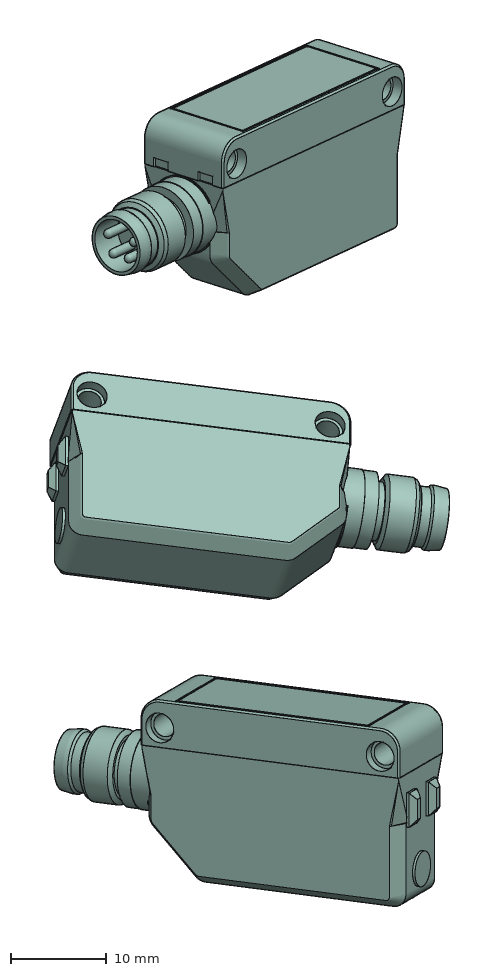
import cadquery as cq
import math


length = 29.9
height = 19.7
cap_width = 10.8
body_inset = 0.13
body_width = cap_width - 2 * body_inset
body_front = body_inset
body_rear = length - body_inset
split_z = 14.55
cap_corner_radius = 2.25
cap_edge_chamfer = 0.2

slope_size = 6.0
slope_radius = 1.65
rear_radius = 1.45
bevel_x = 1.6
bevel_in = 0.9
bevel_edge_x = 0.15
bevel_edge_in = 0.15
bevel_top_z = 9.17
ramp_top_z = 14.25
ramp_facets = ((2.3, 1.0), (1.2, 1.1))

hole_diameter = 2.5
hole_counterbore = 3.2
counterbore_depth = 1.2
hole_inset = 2.25
hole_spacing = 25.45
hole_z = 16.7

label_width = 9.9
label_start = 3.85
label_length = 22.35
groove_width = 0.25
groove_depth = 0.13
notch_width = 1.95
notch_height = 1.05
notch_depth = 0.35
notch_x = 3.0

lens_diameter = 3.8
lens_z = 3.38
lens_projection = 0.15
button_x = 2.38
button_z = 10.6
button_pad = 0.15
button_projection = 0.85
button_base = (1.95, 3.7)
button_tip = (0.8, 2.2)

axis_z = 10.2
connector_length = 10.95
root_flange_diameter = 8.6
root_flange_projection = 0.05
collar_diameter = 8.35
collar_end = 1.75
sleeve_diameter = 8.2
sleeve_end = 3.25
neck_diameter = 6.2
neck_end = 4.1
nut_start_diameter = 6.92
nut_diameter = 8.0
nut_full_start = 4.45
nut_full_end = 7.25
nut_bend_diameter = 7.6
nut_bend = 7.67
nut_end_diameter = 6.6
nut_end = 8.0
groove_diameter = 6.4
groove_end = 9.05
rim_diameter = 6.9
rim_start = 9.3
rim_full_end = 9.8
tip_diameter = 6.5
bore_diameter = 5.75
bore_depth = 3.75
pin_diameter = 1.0
pin_tip_radius = 0.48
pin_recess = 0.38
pin_places = ((1.75, 0.63), (-1.75, 0.63), (1.05, -1.4), (-1.05, -1.4))


def box(x_size, y_range, z_range, x_centre=0.0):
    """Box centred on x_centre between the given Y and Z limits."""
    y_size = y_range[1] - y_range[0]
    z_size = z_range[1] - z_range[0]
    corner = (x_centre - x_size / 2, y_range[0], z_range[0])
    return cq.Workplane("XY").box(x_size, y_size, z_size, centered=False).translate(corner)


def make_cap():
    """Upper housing part with round top corners and chamfered side outlines."""
    block = box(cap_width, (0, length), (0, height))
    block = block.edges("|X and >Z").fillet(cap_corner_radius)
    block = block.faces("<X or >X").chamfer(cap_edge_chamfer)
    return block.intersect(box(cap_width, (0, length), (split_z, height)))


def make_lower_body():
    """Bevelled body up to bevel_top_z, then a plain block whose corners carry the ramps."""
    core = (
        cq.Workplane("YZ")
        .polyline([
            (slope_size, 0),
            (body_rear, 0),
            (body_rear, split_z),
            (body_front, split_z),
            (body_front, slope_size - body_front),
        ])
        .close()
        .extrude(body_width / 2 - bevel_x - bevel_edge_x)
    )
    core = core.edges("|X and >Y and <Z").fillet(rear_radius)
    slope_edges = cq.selectors.BoxSelector(
        (-body_width, -0.4, -0.4), (body_width, slope_size + 0.4, slope_size + 0.4)
    )
    core = core.edges("|X").edges(slope_edges).fillet(slope_radius)
    half = core
    for depth, inward in ((bevel_x, bevel_in), (bevel_edge_x, bevel_edge_in)):
        angle = math.degrees(math.atan2(inward, depth))
        half = half.faces(">X").wires().toPending().extrude(depth, taper=angle)
    bevelled = half.union(half.mirror("YZ"))
    bevelled = bevelled.intersect(box(body_width, (0, length), (0, bevel_top_z)))

    upper = box(body_width, (body_front, body_rear), (bevel_top_z, split_z))
    for x_side in (-1, 1):
        x_corner = x_side * body_width / 2
        for y_corner, y_inward in ((body_front, 1), (body_rear, -1)):
            for leg_x, leg_y in ramp_facets:
                upper = upper.cut(ramp_cutter(x_corner, y_corner, -x_side * leg_x, y_inward * leg_y))
    return bevelled.union(upper)


def ramp_cutter(x_corner, y_corner, leg_x, leg_y):
    """Three-sided pyramid standing on bevel_top_z with its apex on the housing corner."""
    corner = cq.Vector(x_corner, y_corner, bevel_top_z)
    along_x = corner + cq.Vector(leg_x, 0, 0)
    along_y = corner + cq.Vector(0, leg_y, 0)
    apex = cq.Vector(x_corner, y_corner, ramp_top_z)
    triangles = (
        (corner, along_x, along_y),
        (corner, along_x, apex),
        (corner, along_y, apex),
        (along_x, along_y, apex),
    )
    faces = [cq.Face.makeFromWires(cq.Wire.makePolygon(t, close=True)) for t in triangles]
    return cq.Workplane(obj=cq.Solid.makeSolid(cq.Shell.makeShell(faces)))


def x_cylinder(diameter, x_start, x_length, y, z):
    return cq.Workplane("YZ", origin=(x_start, y, z)).circle(diameter / 2).extrude(x_length)


def cut_mounting_holes(housing):
    for y in (hole_inset, hole_inset + hole_spacing):
        housing = housing.cut(x_cylinder(hole_diameter, -cap_width / 2, cap_width, y, hole_z))
        for x_start in (-cap_width / 2, cap_width / 2 - counterbore_depth):
            housing = housing.cut(x_cylinder(hole_counterbore, x_start, counterbore_depth, y, hole_z))
    return housing


def cut_label_groove(housing):
    label_end = label_start + label_length
    z_range = (height - groove_depth, height)
    outer = box(label_width, (label_start, label_end), z_range)
    inner = box(
        label_width - 2 * groove_width,
        (label_start + groove_width, label_end - groove_width),
        z_range,
    )
    return housing.cut(outer.cut(inner))


def cut_notches(housing):
    for x in (-notch_x, notch_x):
        housing = housing.cut(box(notch_width, (0, notch_depth), (split_z, split_z + notch_height), x))
    return housing


def rear_plane(x, y, z):
    """Sketch plane parallel to the rear face; negative extrusions go to +Y."""
    return cq.Workplane("XZ", origin=(x, y, z))


def make_button(x):
    """Tapered button on a thin pad."""
    pad = (
        rear_plane(x, body_rear, button_z)
        .rect(*button_base)
        .extrude(-(body_inset + button_pad))
    )
    taper = (
        rear_plane(x, length + button_pad, button_z)
        .rect(*button_base)
        .workplane(offset=button_pad - button_projection)
        .rect(*button_tip)
        .loft()
    )
    return pad.union(taper)


def make_lens():
    disc = rear_plane(0, body_rear, lens_z).circle(lens_diameter / 2)
    return disc.extrude(-(body_inset + lens_projection))


def make_root_flange():
    """Thin disc around the connector root, trimmed to the flat strip between the bevels."""
    flat_width = body_width - 2 * (bevel_x + bevel_edge_x)
    disc = (
        cq.Workplane("XZ", origin=(0, body_front, axis_z))
        .circle(root_flange_diameter / 2)
        .extrude(body_inset + root_flange_projection)
    )
    return disc.intersect(box(flat_width, (-root_flange_projection, body_front), (0, height)))


def make_connector():
    """Turned plug body with its bore and pins."""
    root = -(body_inset + bevel_in + bevel_edge_in)
    floor = connector_length - bore_depth
    outline = [
        (0, root),
        (collar_diameter, root),
        (collar_diameter, collar_end),
        (sleeve_diameter, collar_end),
        (sleeve_diameter, sleeve_end),
        (neck_diameter, sleeve_end),
        (neck_diameter, neck_end),
        (nut_start_diameter, neck_end),
        (nut_diameter, nut_full_start),
        (nut_diameter, nut_full_end),
        (nut_bend_diameter, nut_bend),
        (nut_end_diameter, nut_end),
        (groove_diameter, nut_end),
        (groove_diameter, groove_end),
        (rim_diameter, rim_start),
        (rim_diameter, rim_full_end),
        (tip_diameter, connector_length),
        (bore_diameter, connector_length),
        (bore_diameter, floor),
        (0, floor),
    ]
    profile = [(diameter / 2, distance) for diameter, distance in outline]
    plug = cq.Workplane("XY").polyline(profile).close().revolve(360, (0, 0), (0, 1))
    for x, z in pin_places:
        pin = (
            cq.Workplane("XZ", origin=(x, floor, -z))
            .circle(pin_diameter / 2)
            .extrude(pin_recess - bore_depth)
            .faces(">Y")
            .edges()
            .fillet(pin_tip_radius)
        )
        plug = plug.union(pin)
    return plug.rotate((0, 0, 0), (1, 0, 0), 180).translate((0, 0, axis_z))


housing = make_lower_body().union(make_cap())
housing = cut_mounting_holes(housing)
housing = cut_label_groove(housing)
housing = cut_notches(housing)

result = housing.union(make_root_flange()).union(make_connector()).union(make_lens())
for x in (-button_x, button_x):
    result = result.union(make_button(x))